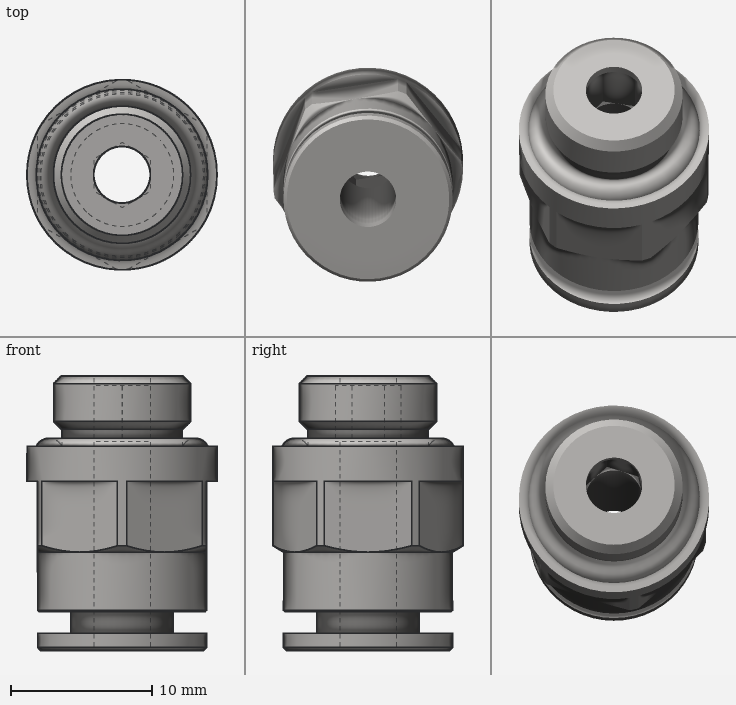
import cadquery as cq
import math

height = 19.5
release_top = 1.25
body_bottom = 2.75
hex_bottom = 7.0
collar_bottom = 12.01
collar_top = 14.5
seal_top = 15.07
thread_bottom = 15.7

collar_diameter = 13.5
hex_width = 12.0
body_diameter = 12.0
neck_diameter = 7.3
relief_diameter = 8.56
thread_diameter = 9.73
seal_diameter = 12.17
bore_diameter = 4.0

thread_chamfer = 0.57
release_chamfer = 0.23
body_chamfer = 0.14
hex_chamfer_height = 0.45

socket_width = bore_diameter
socket_lead_in = 0.66
socket_top = height - socket_lead_in
socket_depth = 4.0


def cylinder(diameter, bottom, top):
    """Vertical cylinder on the Z axis between two heights."""
    return cq.Workplane("XY").workplane(offset=bottom).circle(diameter / 2).extrude(top - bottom)


def hexagon(width, bottom, top):
    """Vertical hexagonal prism with two flats facing +X and -X."""
    corner_diameter = width / math.cos(math.pi / 6)
    return (
        cq.Workplane("XY")
        .workplane(offset=bottom)
        .transformed(rotate=(0, 0, 30))
        .polygon(6, corner_diameter)
        .extrude(top - bottom)
    )


def wrench_section():
    """Hexagon with its corners turned round and its lower corners bevelled."""
    bevelled_blank = (
        cq.Workplane("XZ")
        .moveTo(0, hex_bottom)
        .lineTo(hex_width / 2, hex_bottom)
        .lineTo(collar_diameter / 2, hex_bottom + hex_chamfer_height)
        .lineTo(collar_diameter / 2, collar_bottom)
        .lineTo(0, collar_bottom)
        .close()
        .revolve(360, (0, 0, 0), (0, 1, 0))
    )
    return hexagon(hex_width, hex_bottom, collar_bottom).intersect(bevelled_blank)


def seal_ring():
    """Sealing ring with an arched top, lying on the collar around the relief."""
    inner_radius = relief_diameter / 2
    outer_radius = seal_diameter / 2
    crest_radius = (inner_radius + outer_radius) / 2
    return (
        cq.Workplane("XZ")
        .moveTo(inner_radius, collar_top)
        .threePointArc((crest_radius, seal_top), (outer_radius, collar_top))
        .close()
        .revolve(360, (0, 0, 0), (0, 1, 0))
    )


release_flange = cylinder(body_diameter, 0, release_top).faces("<Z").chamfer(release_chamfer)
neck = cylinder(neck_diameter, release_top, body_bottom)
body = cylinder(body_diameter, body_bottom, hex_bottom).faces("<Z").chamfer(body_chamfer)

collar = cylinder(collar_diameter, collar_bottom, collar_top)
relief = cylinder(relief_diameter, collar_top, thread_bottom)
thread = cylinder(thread_diameter, thread_bottom, height).faces("<Z or >Z").edges().chamfer(thread_chamfer)

result = release_flange
for section in (neck, body, wrench_section(), collar, seal_ring(), relief, thread):
    result = result.union(section)

result = result.cut(cylinder(bore_diameter, 0, height))
result = result.cut(hexagon(socket_width, socket_top - socket_depth, socket_top))